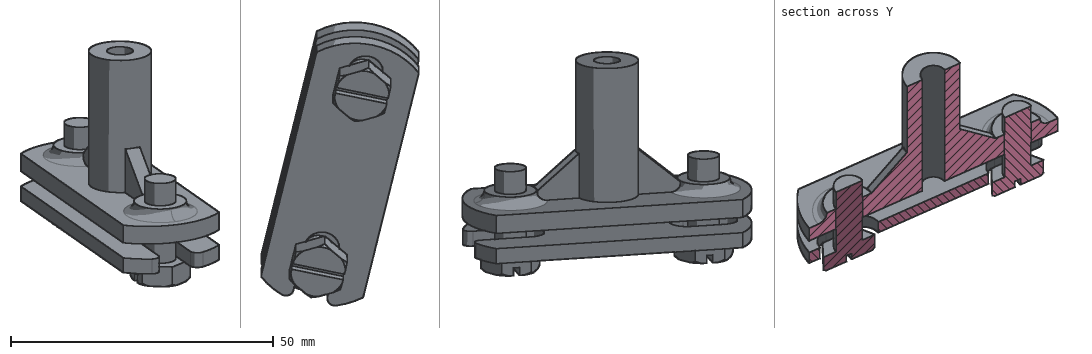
import cadquery as cq
import math

length = 55.95
width = 20.0
end_bow = 3.8
holder_plate_thickness = 3.5
clamp_plate_thickness = 2.95

screw_spacing = 37.95
shank_diameter = 6.0
head_across_flats = 10.0
head_height = 4.05
head_chamfer_rise = 0.5
head_end_diameter = 10.4
slot_width = 1.2
slot_depth = 1.55
screw_tip_height = 20.05

clamp_slot_width = 6.6
clamp_slot_travel = 6.5
mouth_corner_radius = 1.5

tube_diameter = 12.0
bore_diameter = 5.0
overall_height = 40.0
boss_top_diameter = 10.0
boss_height = 2.0
boss_fillet_radius = 2.0
rib_thickness = 3.0
rib_height_at_tube = 8.75

plate_gap = 3.0
clamp_plate_bottom = head_height
clamp_plate_top = clamp_plate_bottom + clamp_plate_thickness
holder_plate_bottom = clamp_plate_top + plate_gap
holder_plate_top = holder_plate_bottom + holder_plate_thickness
boss_top = holder_plate_top + boss_height

screw_positions = (-screw_spacing / 2, screw_spacing / 2)


def bowed_plate(bottom, thickness):
    half_length = length / 2
    half_width = width / 2
    corner = half_length - end_bow
    return (
        cq.Workplane("XY", origin=(0, 0, bottom))
        .moveTo(-corner, -half_width)
        .lineTo(corner, -half_width)
        .threePointArc((half_length, 0), (corner, half_width))
        .lineTo(-corner, half_width)
        .threePointArc((-half_length, 0), (-corner, -half_width))
        .close()
        .extrude(thickness)
    )


def cylinder(x, diameter, bottom, top):
    return cq.Workplane("XY", origin=(x, 0, bottom)).circle(diameter / 2).extrude(top - bottom)


def flared_boss(x):
    """Round boss that spreads into the plate through a concave fillet."""
    top_radius = boss_top_diameter / 2
    foot_radius = top_radius + boss_fillet_radius
    diagonal = boss_fillet_radius * (1 - math.sqrt(0.5))
    return (
        cq.Workplane("XZ", origin=(x, 0, holder_plate_top))
        .lineTo(foot_radius, 0)
        .threePointArc((top_radius + diagonal, diagonal), (top_radius, boss_height))
        .lineTo(0, boss_height)
        .close()
        .revolve(360, (0, 0, 0), (0, 1, 0))
    )


def ribs():
    """Two sloping ribs, made as one gable-shaped wall through the tube axis."""
    foot = screw_spacing / 2 - boss_top_diameter / 2
    tube_side = tube_diameter / 2
    return (
        cq.Workplane("XZ", origin=(0, rib_thickness / 2, holder_plate_top))
        .moveTo(-foot, 0)
        .lineTo(foot, 0)
        .lineTo(foot, boss_height)
        .lineTo(tube_side, rib_height_at_tube)
        .lineTo(-tube_side, rib_height_at_tube)
        .lineTo(-foot, boss_height)
        .close()
        .extrude(rib_thickness)
    )


def make_holder():
    body = bowed_plate(holder_plate_bottom, holder_plate_thickness)
    body = body.union(cylinder(0, tube_diameter, holder_plate_top, overall_height))
    body = body.union(ribs())
    for x in screw_positions:
        body = body.union(flared_boss(x))
    for x in screw_positions:
        body = body.cut(cylinder(x, shank_diameter, holder_plate_bottom, boss_top))
    return body.cut(cylinder(0, bore_diameter, holder_plate_bottom, overall_height))


def clamp_slot(x):
    """Round-ended slot along X, centred on a screw."""
    return (
        cq.Workplane("XY", origin=(x, 0, clamp_plate_bottom))
        .slot2D(clamp_slot_travel + clamp_slot_width, clamp_slot_width)
        .extrude(clamp_plate_thickness)
    )


def slot_mouth(x):
    """Straight passage from a screw out through the +X end of the plate."""
    return cq.Workplane("XY", origin=(x, 0, clamp_plate_bottom)).box(
        length / 2, clamp_slot_width, clamp_plate_thickness, centered=(False, True, False)
    )


def make_clamp_plate():
    closed_slot_x, open_slot_x = screw_positions
    body = bowed_plate(clamp_plate_bottom, clamp_plate_thickness)
    body = body.cut(clamp_slot(closed_slot_x))
    body = body.cut(clamp_slot(open_slot_x))
    body = body.cut(slot_mouth(open_slot_x))
    return body.edges("|Z").edges(">X").fillet(mouth_corner_radius)


def make_screw(x):
    """Hexagon head with a chamfered, slotted end face and a plain shank."""
    corner_diameter = head_across_flats / math.cos(math.pi / 6)
    hexagon = cq.Workplane("XY", origin=(x, 0, 0)).polygon(6, corner_diameter).extrude(head_height)
    rounding = (
        cq.Workplane("XZ", origin=(x, 0, 0))
        .lineTo(head_end_diameter / 2, 0)
        .lineTo(corner_diameter / 2, head_chamfer_rise)
        .lineTo(corner_diameter / 2, head_height)
        .lineTo(0, head_height)
        .close()
        .revolve(360, (0, 0, 0), (0, 1, 0))
    )
    slot = (
        cq.Workplane("XY", origin=(x, 0, 0))
        .rect(slot_width, corner_diameter)
        .extrude(slot_depth)
    )
    shank = cylinder(x, shank_diameter, head_height, screw_tip_height)
    return hexagon.intersect(rounding).cut(slot).union(shank)


holder = make_holder()
clamp_plate = make_clamp_plate()
screws = [make_screw(x) for x in screw_positions]

result = cq.Compound.makeCompound(
    [holder.val(), clamp_plate.val(), *[screw.val() for screw in screws]]
)